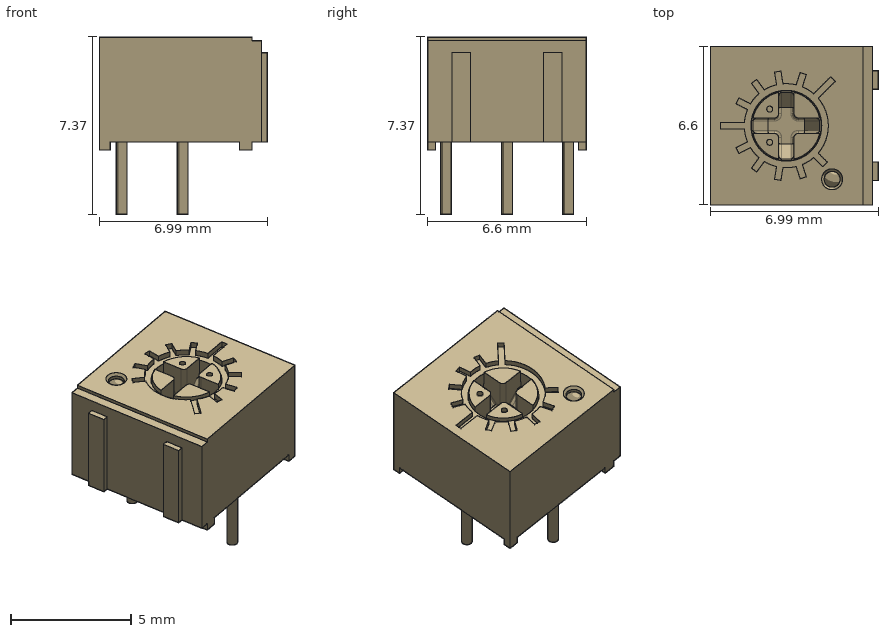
import cadquery as cq
import math


housing_width = 6.6
housing_left = -3.155
cover_right = 3.2
housing_right = 3.595
housing_top = 4.70
housing_bottom = 0.33
ledge_drop = 0.15

foot_width = 0.33
left_foot_length = 0.45
right_foot_length = 0.53

tab_right = 3.835
tab_width = 0.78
tab_offset = 1.9
tab_top = 4.06

pin_diameter = 0.46
pin_bottom = -2.67
pin_pitch = 2.54
middle_pin_x = -2.235
outer_pin_x = middle_pin_x + pin_pitch
pin_positions = [(middle_pin_x, 0), (outer_pin_x, pin_pitch), (outer_pin_x, -pin_pitch)]

dial_diameter = 3.5
dial_depth = 0.25
tick_width = 0.27
tick_step = 27
first_tick_angle = 45
tick_count = 11
short_tick_reach = 2.28
long_tick_reach = 2.745
long_tick_angles = (45, 180)

bore_diameter = 2.95
bore_depth = 1.8
rotor_top_diameter = 2.85
rotor_recess = 0.1
rotor_top = housing_top - rotor_recess
rotor_bottom = housing_top - bore_depth
rotor_hole_diameter = 0.25
rotor_hole_offset = 0.69
rotor_hole_depth = 0.25

slot_width = 0.64
slot_depth = 1.55
slot_half_length = 1.6
slot_flat_half_length = 0.765
ramp_end_reach = 1.38
ramp_angle = 45
slot_corner_radius = 0.18
slot_floor_radius = 0.125

dimple_x = 1.905
dimple_y = -2.23
dimple_rim_diameter = 0.87
dome_diameter = 0.66
dimple_depth = 0.25
rim_chamfer = (dimple_rim_diameter - dome_diameter) / 2
dome_height = 0.155


def box(x_min, x_max, y_min, y_max, z_min, z_max):
    """Box given by its limits along each axis."""
    size = (x_max - x_min, y_max - y_min, z_max - z_min)
    return cq.Workplane("XY").box(*size, centered=False).translate((x_min, y_min, z_min))


def cylinder(diameter, z_min, z_max, x=0, y=0):
    """Upright cylinder between two heights."""
    return cq.Workplane("XY", origin=(x, y, z_min)).circle(diameter / 2).extrude(z_max - z_min)


def make_housing():
    """Stepped block with feet, side tabs and pins."""
    half_width = housing_width / 2
    ledge_top = housing_top - ledge_drop
    housing = box(housing_left, cover_right, -half_width, half_width, housing_bottom, housing_top)
    housing = housing.union(
        box(cover_right, housing_right, -half_width, half_width, housing_bottom, ledge_top)
    )
    foot_spans = [
        (housing_left, housing_left + left_foot_length),
        (cover_right - right_foot_length, cover_right),
    ]
    for x_min, x_max in foot_spans:
        for y_min in (-half_width, half_width - foot_width):
            housing = housing.union(box(x_min, x_max, y_min, y_min + foot_width, 0, housing_bottom))
    for tab_y in (-tab_offset, tab_offset):
        y_min = tab_y - tab_width / 2
        housing = housing.union(
            box(housing_right, tab_right, y_min, y_min + tab_width, housing_bottom, tab_top)
        )
    for x, y in pin_positions:
        housing = housing.union(cylinder(pin_diameter, pin_bottom, housing_bottom, x, y))
    return housing


def make_dial_recess():
    """Round recess with tick marks radiating from it."""
    floor = housing_top - dial_depth
    recess = cylinder(dial_diameter, floor, housing_top)
    half_tick = tick_width / 2
    for index in range(tick_count):
        angle = first_tick_angle + index * tick_step
        reach = long_tick_reach if angle in long_tick_angles else short_tick_reach
        tick = box(0, reach, -half_tick, half_tick, floor, housing_top)
        recess = recess.union(tick.rotate((0, 0, 0), (0, 0, 1), angle))
    return recess


def make_slot_arm_pair():
    """Straight slot along X whose floor ramps up to a narrow ledge at each end."""
    floor = rotor_top - slot_depth
    ramp_length = ramp_end_reach - slot_flat_half_length
    ramp_end = floor + ramp_length * math.tan(math.radians(ramp_angle))
    return (
        cq.Workplane("XZ")
        .moveTo(-slot_half_length, housing_top)
        .lineTo(-slot_half_length, ramp_end)
        .lineTo(-ramp_end_reach, ramp_end)
        .lineTo(-slot_flat_half_length, floor)
        .lineTo(slot_flat_half_length, floor)
        .lineTo(ramp_end_reach, ramp_end)
        .lineTo(slot_half_length, ramp_end)
        .lineTo(slot_half_length, housing_top)
        .close()
        .extrude(slot_width / 2, both=True)
    )


def make_cross_slot():
    """Cross slot with rounded inner corners and a rounded floor."""
    arms = make_slot_arm_pair()
    cross = arms.union(arms.rotate((0, 0, 0), (0, 0, 1), 90))
    inner_corners = cq.selectors.BoxSelector(
        (-slot_width, -slot_width, 0), (slot_width, slot_width, housing_top)
    )
    cross = cross.edges("|Z").edges(inner_corners).fillet(slot_corner_radius)
    flat_edges = cq.selectors.BoxSelector(
        (-ramp_end_reach, -ramp_end_reach, 0), (ramp_end_reach, ramp_end_reach, rotor_top)
    )
    wall_edges = [
        edge
        for edge in cross.edges(flat_edges).edges("not |Z").vals()
        if min(abs(edge.Center().x), abs(edge.Center().y)) > slot_floor_radius
    ]
    return cross.newObject(wall_edges).fillet(slot_floor_radius)


def make_rotor():
    """Slightly tapered rotor with its cross slot and two pointer holes."""
    rotor = (
        cq.Workplane("XY", origin=(0, 0, rotor_bottom))
        .circle(bore_diameter / 2)
        .workplane(offset=rotor_top - rotor_bottom)
        .circle(rotor_top_diameter / 2)
        .loft()
    )
    rotor = rotor.cut(make_cross_slot())
    hole_bottom = rotor_top - rotor_hole_depth
    for y in (-rotor_hole_offset, rotor_hole_offset):
        hole = cylinder(rotor_hole_diameter, hole_bottom, rotor_top, -rotor_hole_offset, y)
        rotor = rotor.cut(hole)
    return rotor


def make_dimple():
    """Chamfered round dimple with a dome rising from its floor."""
    dimple = cylinder(dome_diameter, housing_top - dimple_depth, housing_top)
    dimple = dimple.union(
        cq.Workplane("XY", origin=(0, 0, housing_top))
        .circle(dimple_rim_diameter / 2)
        .workplane(offset=-rim_chamfer)
        .circle(dome_diameter / 2)
        .loft()
    )
    dome_radius = (dome_diameter**2 / 4 + dome_height**2) / (2 * dome_height)
    dome_top = housing_top - dimple_depth + dome_height
    dome = cq.Workplane("XY", origin=(0, 0, dome_top - dome_radius)).sphere(dome_radius)
    return dimple.cut(dome).translate((dimple_x, dimple_y, 0))


result = (
    make_housing()
    .cut(make_dial_recess())
    .cut(cylinder(bore_diameter, rotor_bottom, housing_top))
    .union(make_rotor())
    .cut(make_dimple())
)